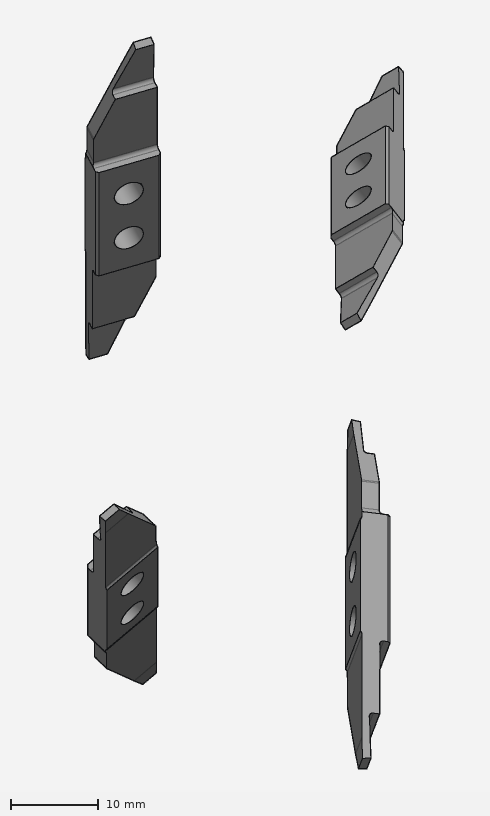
import cadquery as cq
import math

length = 50.5
width = 8.0
thickness = 3.55
half_length = length / 2
half_width = width / 2

body_half_length = 8.75
body_edge_chamfer = 0.3
pad_height = 0.2
pad_half_length = 7.75
pad_end_radius = 0.6

blade_back = 2.25
step_height = 18.85
tip_root_back = 1.05
tip_end_back = 1.25
tip_end_drop = 0.2
tip_bevel_start = 22.3
tip_bevel_depth = 0.05
fillet_radius = 0.45

blade_edge_inset = 0.15
edge_arc_start = 9.35
bend_height = 13.15
bend_radius = 0.5
tip_width = 2.15

hole_diameter = 3.55
hole_spacing = 7.45


def make_body():
    """Central block with chamfered rear edges and a raised pad with concave ends."""
    block = cq.Workplane("XY").box(
        thickness - pad_height, width, 2 * body_half_length, centered=(False, True, True)
    )
    block = block.translate((pad_height, 0, 0)).edges("|Z and >X").chamfer(body_edge_chamfer)
    arc_length = math.sqrt(pad_end_radius**2 - (pad_end_radius - pad_height) ** 2)
    pad_end = pad_half_length + arc_length
    pad = (
        cq.Workplane("XZ")
        .moveTo(0, -pad_half_length)
        .lineTo(0, pad_half_length)
        .radiusArc((pad_height, pad_end), -pad_end_radius)
        .lineTo(blade_back, pad_end)
        .lineTo(blade_back, -pad_end)
        .lineTo(pad_height, -pad_end)
        .radiusArc((0, -pad_half_length), -pad_end_radius)
        .close()
        .extrude(half_width, both=True)
    )
    return block.union(pad)


def make_upper_blade():
    """Stepped thickness profile, trimmed to the tapered blade outline."""
    profile = (
        cq.Workplane("XZ")
        .moveTo(pad_height, 0)
        .lineTo(pad_height, tip_bevel_start)
        .lineTo(pad_height + tip_bevel_depth, half_length)
        .lineTo(tip_end_back, half_length - tip_end_drop)
        .lineTo(tip_root_back, step_height + fillet_radius)
        .radiusArc((tip_root_back + fillet_radius, step_height), -fillet_radius)
        .lineTo(blade_back, step_height)
        .lineTo(blade_back, body_half_length + fillet_radius)
        .radiusArc((blade_back + fillet_radius, body_half_length), -fillet_radius)
        .lineTo(blade_back + fillet_radius, 0)
        .close()
        .extrude(half_width, both=True)
    )
    edge_y = blade_edge_inset - half_width
    arc_run = edge_arc_start - body_half_length
    edge_arc_radius = (arc_run**2 + blade_edge_inset**2) / (2 * blade_edge_inset)
    outline = (
        cq.Workplane("YZ")
        .moveTo(half_width, 0)
        .lineTo(half_width, half_length)
        .lineTo(half_width - tip_width, half_length)
        .lineTo(edge_y, bend_height)
        .lineTo(edge_y, edge_arc_start)
        .radiusArc((-half_width, body_half_length), edge_arc_radius)
        .lineTo(-half_width, 0)
        .close()
        .extrude(thickness)
    )
    bend_point = (thickness / 2, edge_y, bend_height)
    outline = outline.edges(cq.NearestToPointSelector(bend_point)).fillet(bend_radius)
    return profile.intersect(outline)


def make_mounting_holes():
    """Two plain through holes along the length of the body."""
    centers = [(0, -hole_spacing / 2), (0, hole_spacing / 2)]
    return cq.Workplane("YZ").pushPoints(centers).circle(hole_diameter / 2).extrude(thickness)


upper_blade = make_upper_blade()
lower_blade = upper_blade.rotate((0, 0, 0), (1, 0, 0), 180)

result = make_body().union(upper_blade).union(lower_blade).cut(make_mounting_holes())